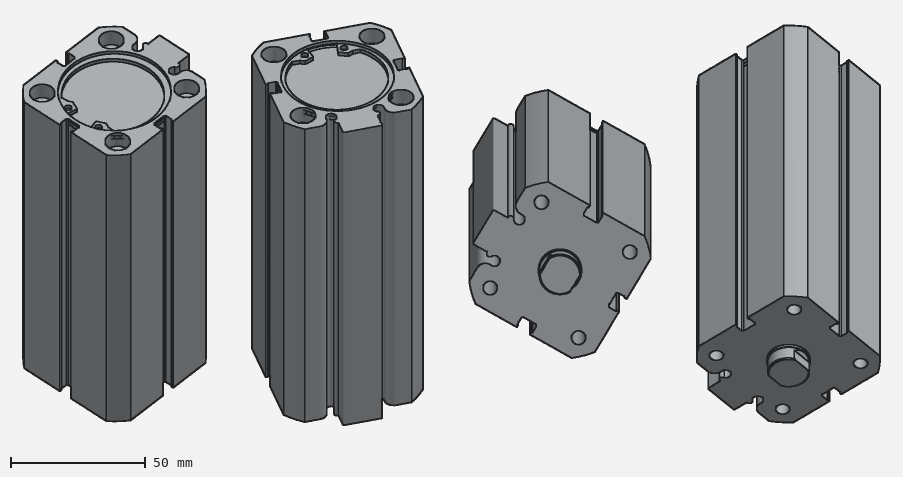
import cadquery as cq
import math

total_length = 146.0
rod_reach = 7.0
housing_length = total_length - rod_reach
width = 54.0
half_width = width / 2
corner_radius = 34.0
cut_margin = 1.5

rail_top = 33.0
rail_half_width = 7.6
rail_edge_radius = 0.5

groove_x = 9.2
groove_y = 22.8
groove_radius = 2.0
groove_lip_radius = 3.5
bulb_start_angle = math.radians(125)
bulb_tip = (8.9, 25.7)
bulb_end = (rail_half_width, 26.9)

slot_mouth = 5.5
slot_width = 6.4
slot_depth = 4.5
slot_lip = 1.0
slot_corner = 0.5

hole_offset = 19.0
hole_diameter = 5.3
counterbore_diameter = 9.3
counterbore_depth = 7.0

bore_radius = 21.0
ring_depth = 1.5
ring_thickness = 1.6
ring_outer_radius = 22.3
ring_inner_radius = 19.1
ring_inner_shift = -0.9
cover_thickness = 10.2
ring_top = housing_length - ring_depth
ring_bottom = ring_top - ring_thickness
cover_bottom = ring_bottom - cover_thickness

ear_profile = [(4.8, -15.3), (8.3, -13.7), (10.2, -14.6), (13.3, -14.7)]
ear_end_slope = 0.2
ear_hole_x = 7.6
ear_hole_y = -17.1
ear_hole_diameter = 2.6

rod_diameter = 16.0
rod_shoulder = 1.2
rod_tip_diameter = 15.5
rod_tip_chamfer = 0.5
flat_distance = 13.0
flat_top = -2.5


def side_slot(angle):
    """Slot with a narrow mouth, cut into the -Y side and turned about Z."""
    face = -half_width
    inner = face + slot_lip
    floor = face + slot_depth
    right_half = [
        (slot_mouth / 2, face - cut_margin),
        (slot_mouth / 2, inner),
        (slot_width / 2, inner),
        (slot_width / 2, floor - slot_corner),
        (slot_width / 2 - slot_corner, floor),
    ]
    left_half = [(-x, y) for x, y in reversed(right_half)]
    slot = cq.Workplane("XY").polyline(right_half + left_half).close().extrude(housing_length)
    return slot.rotate((0, 0, 0), (0, 0, 1), angle)


def rail_groove():
    """Space between the rail and the +X shoulder, down to the round groove at the rail's foot."""
    outer_x = groove_x + groove_radius
    bulb_start = (
        groove_x + groove_radius * math.cos(bulb_start_angle),
        groove_y + groove_radius * math.sin(bulb_start_angle),
    )
    lip_start_y = half_width - groove_lip_radius
    lip_middle = (
        outer_x + groove_lip_radius * (1 - math.cos(math.pi / 4)),
        lip_start_y + groove_lip_radius * math.sin(math.pi / 4),
    )
    return (
        cq.Workplane("XY")
        .moveTo(rail_half_width, rail_top)
        .lineTo(*bulb_end)
        .threePointArc(bulb_tip, bulb_start)
        .threePointArc((groove_x, groove_y - groove_radius), (outer_x, groove_y))
        .lineTo(outer_x, lip_start_y)
        .threePointArc(lip_middle, (outer_x + groove_lip_radius, half_width))
        .lineTo(outer_x + groove_lip_radius, rail_top)
        .close()
        .extrude(housing_length)
    )


def make_housing():
    block = cq.Workplane("XY").rect(width, width).extrude(housing_length)
    corner_cylinder = cq.Workplane("XY").circle(corner_radius).extrude(housing_length)
    rail = (
        cq.Workplane("XY")
        .center(0, rail_top / 2)
        .rect(2 * rail_half_width, rail_top)
        .extrude(housing_length)
        .edges("|Z and >Y")
        .fillet(rail_edge_radius)
    )
    bulb_width = 2 * (groove_x + groove_radius)
    rail_foot = (
        cq.Workplane("XY")
        .center(0, half_width / 2)
        .rect(bulb_width, half_width)
        .extrude(housing_length)
    )
    body = block.intersect(corner_cylinder).union(rail_foot).union(rail)

    groove = rail_groove()
    body = body.cut(groove).cut(groove.mirror("YZ"))
    for angle in (0, 90, -90):
        body = body.cut(side_slot(angle))

    body = (
        body.faces(">Z")
        .workplane(origin=(0, 0, housing_length))
        .rect(2 * hole_offset, 2 * hole_offset, forConstruction=True)
        .vertices()
        .cboreHole(hole_diameter, counterbore_diameter, counterbore_depth)
    )

    bore = cq.Workplane("XY", origin=(0, 0, cover_bottom)).circle(bore_radius)
    ring_groove = cq.Workplane("XY", origin=(0, 0, ring_bottom)).circle(ring_outer_radius)
    rod_hole = cq.Workplane("XY").circle(rod_diameter / 2)
    return (
        body.cut(bore.extrude(housing_length - cover_bottom))
        .cut(ring_groove.extrude(ring_thickness))
        .cut(rod_hole.extrude(cover_bottom))
    )


def make_cover():
    return cq.Workplane("XY", origin=(0, 0, cover_bottom)).circle(bore_radius).extrude(cover_thickness)


def ring_prism(points):
    """Straight-sided block as thick as the retaining ring."""
    return cq.Workplane("XY", origin=(0, 0, ring_bottom)).polyline(points).close().extrude(ring_thickness)


def ring_cylinder(radius, x, y):
    return cq.Workplane("XY", origin=(x, y, ring_bottom)).circle(radius).extrude(ring_thickness)


def make_retaining_ring():
    """Open ring, thinner towards its ends, with an ear and a plier hole at each end."""
    below_ring = -ring_outer_radius - cut_margin
    ear_x, ear_y = ear_profile[0]
    root_x = ear_profile[-1][0]
    ear = ring_prism(ear_profile + [(root_x, below_ring), (ear_x, below_ring)])
    opening = ring_cylinder(ring_inner_radius, 0, ring_inner_shift).cut(ear).cut(ear.mirror("YZ"))

    end_x = ear_x + (ear_y - below_ring) * ear_end_slope
    gap = ring_prism([(-ear_x, ear_y), (ear_x, ear_y), (end_x, below_ring), (-end_x, below_ring)])

    ring = ring_cylinder(ring_outer_radius, 0, 0).cut(opening).cut(gap)
    for x in (-ear_hole_x, ear_hole_x):
        ring = ring.cut(ring_cylinder(ear_hole_diameter / 2, x, ear_hole_y))
    return ring


def make_rod():
    shank = (
        cq.Workplane("XY", origin=(0, 0, -rod_shoulder))
        .circle(rod_diameter / 2)
        .extrude(rod_shoulder + cover_bottom)
    )
    tip = (
        cq.Workplane("XY", origin=(0, 0, -rod_reach))
        .circle(rod_tip_diameter / 2)
        .extrude(rod_reach - rod_shoulder)
        .faces("<Z")
        .chamfer(rod_tip_chamfer)
    )
    rod = shank.union(tip)

    flat_y = flat_distance / 2
    outer_y = rod_diameter / 2 + cut_margin
    flat_cut = (
        cq.Workplane("YZ")
        .polyline([
            (flat_y, -rod_reach - cut_margin),
            (flat_y, flat_top),
            (outer_y, flat_top + outer_y - flat_y),
            (outer_y, -rod_reach - cut_margin),
        ])
        .close()
        .extrude(rod_diameter / 2, both=True)
    )
    return rod.cut(flat_cut).cut(flat_cut.mirror("XZ"))


housing = make_housing()
cover = make_cover()
retaining_ring = make_retaining_ring()
rod = make_rod()

result = cq.Compound.makeCompound([housing.val(), cover.val(), retaining_ring.val(), rod.val()])